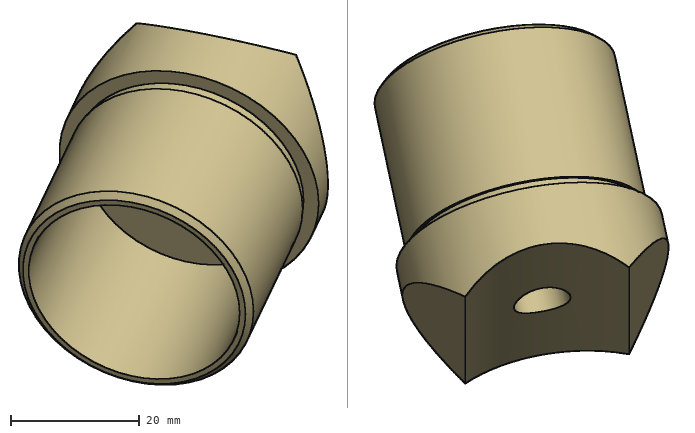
import cadquery as cq

total_length = 43.5
collar_diameter = 42.4
collar_radius = collar_diameter / 2

spigot_diameter = 38.4
spigot_length = 27.0
end_chamfer = 1.0
groove_diameter = 37.5
groove_width = 2.0
shoulder_y = spigot_length + groove_width

bore_diameter = 34.5
bore_depth = shoulder_y
screw_hole_diameter = 9.0

saddle_radius = collar_radius
saddle_floor_y = 39.0
saddle_center_y = saddle_floor_y + saddle_radius

tip_half_width = (saddle_radius**2 - (saddle_center_y - total_length) ** 2) ** 0.5
flank_bottom_y = 34.0


def cylinder_along_y(diameter, start_y, length):
    """Solid cylinder on the part axis, growing toward +Y from start_y."""
    plane = cq.Workplane(cq.Plane(origin=(0, start_y, 0), xDir=(1, 0, 0), normal=(0, 1, 0)))
    return plane.circle(diameter / 2).extrude(length)


def make_spigot():
    spigot = cylinder_along_y(spigot_diameter, 0, spigot_length).faces("<Y").chamfer(end_chamfer)
    groove_core = cylinder_along_y(groove_diameter, spigot_length, groove_width)
    return spigot.union(groove_core)


def make_collar():
    """Round collar trimmed to the saddle and flank outline seen along Z."""
    blank = cylinder_along_y(collar_diameter, shoulder_y, total_length - shoulder_y)
    outline = (
        cq.Workplane("XY")
        .moveTo(-collar_radius, shoulder_y)
        .lineTo(collar_radius, shoulder_y)
        .lineTo(collar_radius, flank_bottom_y)
        .lineTo(tip_half_width, total_length)
        .threePointArc((0, saddle_floor_y), (-tip_half_width, total_length))
        .lineTo(-collar_radius, flank_bottom_y)
        .close()
        .extrude(collar_radius, both=True)
    )
    return blank.intersect(outline)


bore = cylinder_along_y(bore_diameter, 0, bore_depth)
screw_hole = cylinder_along_y(screw_hole_diameter, 0, total_length)

result = make_spigot().union(make_collar()).cut(bore).cut(screw_hole)